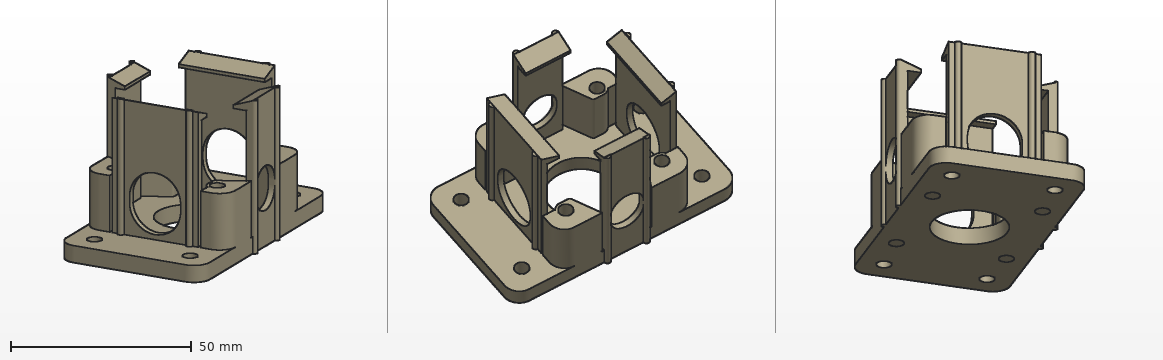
import cadquery as cq
import math

plate_width = 45.0
plate_length = 75.0
plate_thickness = 5.0
corner_radius = 5.0
bore_diameter = 22.0
screw_hole_diameter = 4.3
mount_hole_x = 15.0
mount_hole_y = 30.0
outer_face = plate_width / 2

clip_thickness = 2.0
hook_bottom = 41.5
hook_lip = 1.0
hook_slope = math.tan(math.radians(20.0))
short_hook_reach = 5.0
long_hook_reach = 6.0
wide_clip_width = 27.0
narrow_clip_width = 15.0
rib_radius = 1.0
wide_rib_offset = 10.75
narrow_rib_offset = narrow_clip_width / 2 - rib_radius
lip_top = hook_bottom + hook_lip
rib_top = lip_top + long_hook_reach * hook_slope

window_straight = 2.0
wide_window_radius = 8.0
wide_window_center = 15.5
narrow_window_radius = 5.5
narrow_window_center = 17.0

post_top = 21.5
post_hole_offset = 16.0
post_boss_radius = 3.0
post_clip_gap = 0.75
post_nose_radius = 1.0
post_slope_start = 8.2
post_slope = math.tan(math.radians(25.3))
post_clip_side = wide_clip_width / 2 + post_clip_gap
post_inner_side = post_hole_offset - post_boss_radius

plug_height = plate_thickness


def make_plate():
    plate = (
        cq.Workplane("XY")
        .rect(plate_width, plate_length)
        .extrude(plate_thickness)
        .edges("|Z")
        .fillet(corner_radius)
    )
    return plate.cut(cq.Workplane("XY").circle(bore_diameter / 2).extrude(plate_thickness))


def cylinders_at_corners(x, y, diameter, height):
    """Four upright cylinders at (+-x, +-y), standing on the underside of the plate."""
    return (
        cq.Workplane("XY")
        .rect(2 * x, 2 * y, forConstruction=True)
        .vertices()
        .circle(diameter / 2)
        .extrude(height)
    )


def make_post():
    """Post at the +X +Y corner, rising from the underside of the plate, without its screw hole."""
    bulge_angle = math.acos((post_hole_offset - post_clip_side) / post_boss_radius)

    def bulge_point(angle):
        return (
            post_hole_offset - post_boss_radius * math.cos(angle),
            post_hole_offset + post_boss_radius * math.sin(angle),
        )

    nose_y = post_slope_start + (outer_face - post_inner_side) * post_slope
    post = (
        cq.Workplane("XY")
        .moveTo(outer_face, post_slope_start)
        .lineTo(outer_face, outer_face)
        .lineTo(post_clip_side, outer_face)
        .lineTo(*bulge_point(bulge_angle))
        .threePointArc(bulge_point(bulge_angle / 2), bulge_point(0))
        .lineTo(post_inner_side, nose_y)
        .close()
        .extrude(post_top)
    )
    outer_corner = cq.selectors.NearestToPointSelector((outer_face, outer_face, post_top / 2))
    nose = cq.selectors.NearestToPointSelector((post_inner_side, nose_y, post_top / 2))
    post = post.edges(outer_corner).fillet(corner_radius)
    return post.edges(nose).fillet(post_nose_radius)


def make_clip(width, hook_reach, rib_offset, window_radius, window_center):
    """Clip on the -Y side: upright arm, inward hook, two half-round ribs outside, one window."""
    outside = -outer_face
    inside = outside + clip_thickness
    tip = outside + hook_reach
    profile = [
        (outside, 0),
        (inside, 0),
        (inside, hook_bottom),
        (tip, hook_bottom),
        (tip, lip_top),
        (outside, lip_top + hook_reach * hook_slope),
    ]
    clip = cq.Workplane("YZ").polyline(profile).close().extrude(width / 2, both=True)

    for center in (-rib_offset, rib_offset):
        rib = (
            cq.Workplane("XY")
            .moveTo(center - rib_radius, outside)
            .threePointArc((center, outside - rib_radius), (center + rib_radius, outside))
            .close()
            .extrude(rib_top)
        )
        clip = clip.union(rib)

    window = (
        cq.Workplane("XZ", origin=(0, inside, window_center))
        .slot2D(2 * window_radius + window_straight, 2 * window_radius, 90)
        .extrude(clip_thickness)
    )
    return clip.cut(window)


def make_wide_clip(hook_reach):
    return make_clip(
        wide_clip_width, hook_reach, wide_rib_offset, wide_window_radius, wide_window_center
    )


def make_narrow_clip(hook_reach):
    return make_clip(
        narrow_clip_width, hook_reach, narrow_rib_offset, narrow_window_radius, narrow_window_center
    )


def make_mount():
    """Plate, four corner posts and four snap clips as one solid."""
    mount = make_plate()
    post_pair = make_post()
    post_pair = post_pair.union(post_pair.mirror("YZ"))
    mount = mount.union(post_pair).union(post_pair.mirror("XZ"))

    clips = [
        make_wide_clip(short_hook_reach),
        make_narrow_clip(long_hook_reach),
        make_wide_clip(long_hook_reach),
        make_narrow_clip(short_hook_reach),
    ]
    for index, clip in enumerate(clips):
        mount = mount.union(clip.rotate((0, 0, 0), (0, 0, 1), 90 * index))

    mount_holes = cylinders_at_corners(
        mount_hole_x, mount_hole_y, screw_hole_diameter, plate_thickness
    )
    post_holes = cylinders_at_corners(
        post_hole_offset, post_hole_offset, screw_hole_diameter, post_top
    )
    return mount.cut(mount_holes).cut(post_holes).solids()


def make_plug(x, y):
    """Round plug filling the lower end of one post hole."""
    return cq.Workplane("XY").center(x, y).circle(screw_hole_diameter / 2).extrude(plug_height)


mount = make_mount()

plugs = []
for side_x in (-1, 1):
    for side_y in (-1, 1):
        plugs.append(make_plug(side_x * post_hole_offset, side_y * post_hole_offset))

result = cq.Compound.makeCompound([mount.val(), *[plug.val() for plug in plugs]])